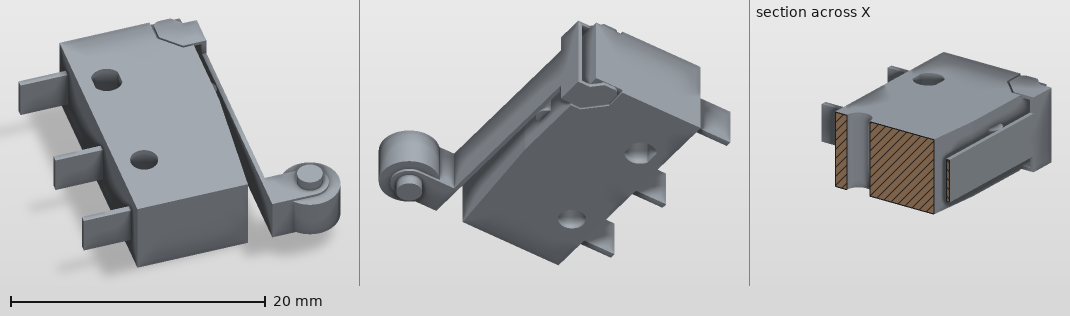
import cadquery as cq


thickness = 6.4
housing_length = 19.78
housing_height = 9.95
low_end_height = 9.13
slope_start = 9.92

hole_y = 2.23
round_hole_x = 14.65
hole_diameter = 2.2
flat_hole_x = 5.14
flat_hole_diameter = 2.51

terminal_starts = [1.59, 10.5, 17.68]
terminal_thickness = 0.5
terminal_length = 3.9
terminal_width = 3.22

plunger_x = 7.12
plunger_radius = 0.84
plunger_width = 3.53
plunger_gap = 0.07

hinge_x = 1.2
hinge_y = 8.73
hinge_radius = 0.82
ear_thickness = 0.29
ear_left = 0.07
ear_right = 3.3
ear_bottom = 7.63
ear_neck_left = 0.88
ear_corner_radius = 0.57
ear_bevel = 1.5
ear_clearance = 0.2
recess_bevel = 1.63

lever_top = 11.05
arm_thickness = 0.35
arm_width = 3.64
lever_bottom = lever_top - arm_thickness
roller_x = 19.65
roller_y = 14.29
roller_radius = 2.4
roller_width = 3.22
bracket_radius = 1.5
axle_radius = 1.01
axle_length = 5.42


def centred_prism(sketch, width):
    """Extrude an XY outline symmetrically about mid thickness."""
    return sketch.extrude(width / 2, both=True)


def disc(x, y, radius, width):
    return centred_prism(cq.Workplane("XY").center(x, y).circle(radius), width)


def block(left, right, bottom, top, width):
    outline = cq.Workplane("XY").center((left + right) / 2, (bottom + top) / 2).rect(right - left, top - bottom)
    return centred_prism(outline, width)


def side_layers(solid):
    """Keep only the layers of a solid that lie one ear thickness deep in the two broad faces."""
    core = cq.Workplane("XY").box(4 * housing_length, 4 * housing_length, thickness - 2 * ear_thickness)
    return solid.cut(core)


def hinge_recesses():
    right = ear_right + ear_clearance
    bottom = ear_bottom - ear_clearance
    outline = (
        cq.Workplane("XY")
        .moveTo(0, bottom)
        .lineTo(right - recess_bevel, bottom)
        .lineTo(right, bottom + recess_bevel)
        .lineTo(right, housing_height)
        .lineTo(0, housing_height)
        .close()
    )
    return side_layers(centred_prism(outline, thickness))


def flat_sided_hole():
    """Round hole with flats above and below."""
    bore = disc(flat_hole_x, hole_y, flat_hole_diameter / 2, thickness)
    band = cq.Workplane("XY").center(flat_hole_x, hole_y).rect(flat_hole_diameter, hole_diameter)
    return bore.intersect(centred_prism(band, thickness))


def make_housing():
    outline = (
        cq.Workplane("XY")
        .lineTo(housing_length, 0)
        .lineTo(housing_length, low_end_height)
        .lineTo(slope_start, housing_height)
        .lineTo(0, housing_height)
        .close()
    )
    body = centred_prism(outline, thickness)
    body = body.cut(disc(round_hole_x, hole_y, hole_diameter / 2, thickness)).cut(flat_sided_hole())

    body = body.cut(hinge_recesses()).union(disc(hinge_x, hinge_y, hinge_radius, thickness))

    plunger_y = lever_bottom - plunger_gap - plunger_radius
    body = body.union(disc(plunger_x, plunger_y, plunger_radius, plunger_width))

    for start in terminal_starts:
        terminal = block(start, start + terminal_thickness, -terminal_length, 0, terminal_width)
        body = body.union(terminal)
    return body


def lever_ears():
    """Two bevelled ears that hang beside the housing and turn on its hinge pin."""
    outline = (
        cq.Workplane("XY")
        .moveTo(ear_left + ear_corner_radius, ear_bottom)
        .lineTo(ear_right - ear_bevel, ear_bottom)
        .lineTo(ear_right, ear_bottom + ear_bevel)
        .lineTo(ear_right, lever_top)
        .lineTo(ear_neck_left, lever_top)
        .lineTo(ear_neck_left, housing_height)
        .lineTo(ear_left, housing_height - (ear_neck_left - ear_left))
        .lineTo(ear_left, ear_bottom + ear_corner_radius)
        .radiusArc((ear_left + ear_corner_radius, ear_bottom), -ear_corner_radius)
        .close()
    )
    ears = side_layers(centred_prism(outline, thickness))
    return ears.cut(disc(hinge_x, hinge_y, hinge_radius, thickness))


def make_lever():
    bracket_left = roller_x - bracket_radius
    bracket_right = roller_x + bracket_radius

    bridge = block(ear_neck_left, ear_right, lever_bottom, lever_top, thickness)
    arm = block(ear_neck_left, bracket_right, lever_bottom, lever_top, arm_width)
    bracket = block(bracket_left, bracket_right, lever_bottom, roller_y, arm_width)
    bracket = bracket.union(disc(roller_x, roller_y, bracket_radius, arm_width))

    roller = disc(roller_x, roller_y, roller_radius, roller_width)
    axle = disc(roller_x, roller_y, axle_radius, axle_length)
    return bridge.union(arm).union(lever_ears()).union(bracket).union(roller).union(axle)


housing = make_housing()
lever = make_lever()

result = cq.Compound.makeCompound([housing.solids().val(), lever.solids().val()])